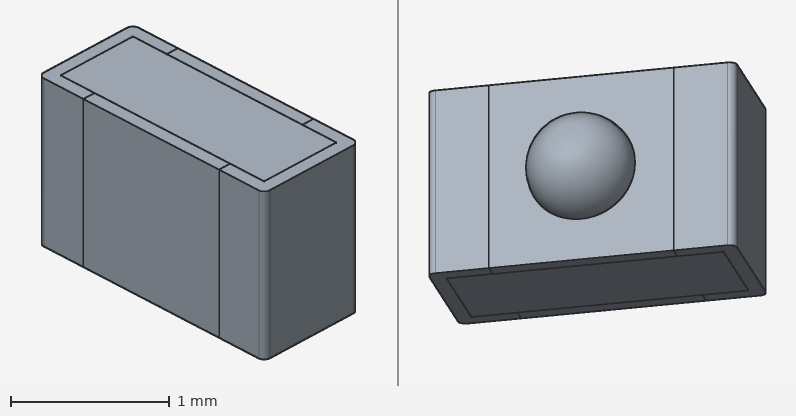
import cadquery as cq

length = 2.0
depth = 0.85
height = 1.25
wall = 0.1
terminal_length = 0.4
corner_radius = 0.05
dome_radius = 0.35

core_length = length - 2 * wall
core_depth = depth - 2 * wall
plate_length = length - 2 * terminal_length
plate_offset = (depth - wall) / 2
terminal_offset = (length - terminal_length) / 2


def make_core():
    """Rectangular block that fills the shell from bottom to top."""
    return cq.Workplane("XY").box(core_length, core_depth, height)


def make_terminal(side):
    """C-shaped end terminal; side is -1 for the -X end and +1 for the +X end."""
    block = cq.Workplane("XY").box(terminal_length, depth, height)
    outer_edges = "|Z and <X" if side < 0 else "|Z and >X"
    block = block.edges(outer_edges).fillet(corner_radius)
    return block.translate((side * terminal_offset, 0, 0)).cut(make_core()).solids()


def make_plate(side):
    """Flat plate between the terminals; side is -1 for -Y and +1 for +Y."""
    plate = cq.Workplane("XY").box(plate_length, wall, height)
    return plate.translate((0, side * plate_offset, 0))


def make_domed_plate():
    """Plate on the +Y side with a hemisphere at the centre of its outer face."""
    ball = cq.Workplane("XY").sphere(dome_radius)
    outer_half = cq.Workplane("XZ").rect(2 * dome_radius, 2 * dome_radius).extrude(-dome_radius)
    dome = ball.intersect(outer_half).translate((0, depth / 2, 0))
    return make_plate(1).union(dome).solids()


core = make_core()
terminals = [make_terminal(side) for side in (-1, 1)]
front_plate = make_plate(-1)
domed_plate = make_domed_plate()

result = cq.Compound.makeCompound([
    core.val(),
    *[terminal.val() for terminal in terminals],
    front_plate.val(),
    domed_plate.val(),
])